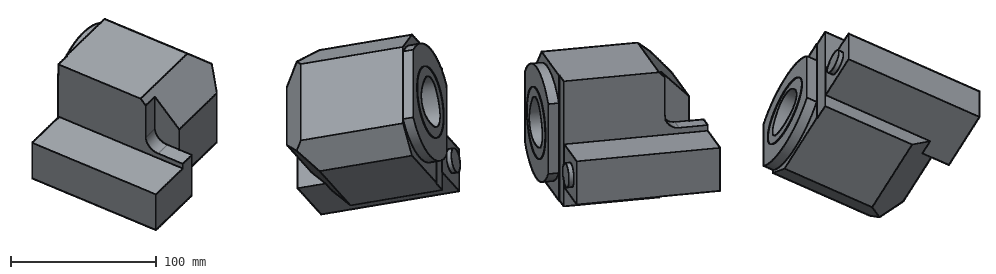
import cadquery as cq
import math


total_length = 110.5
total_depth = 109.0

body_length = 92.2
body_height = 92.0
body_back = 32.0
body_front = -32.0
end_chamfer = 24.2
side_chamfer = 17.0

plate_setback = 0.4
plate_thickness = 11.4
plate_front = body_front - plate_thickness
tongue_top = 3.9
notch_x = 72.2
notch_radius = 10.0

bar_setback = 0.9
bar_end = 102.5
bar_front = body_back - total_depth
bar_top = -0.3
bar_bottom = -32.0
pin_diameter = 17.0
pin_length = 3.5
pin_y = -61.0

flange_diameter = 81.8
flange_width = 63.6
flange_thickness = 7.5
nose_diameter = 50.0
nose_x = bar_end - total_length
socket_radius = 17.3
socket_lobe = 1.1
socket_depth = 26.5
socket_taper = 0.025
lobe_count = 3
points_per_lobe = 8


def box(x_min, x_max, y_min, y_max, z_min, z_max):
    """Box between two opposite corners."""
    size = (x_max - x_min, y_max - y_min, z_max - z_min)
    return cq.Workplane("XY").box(*size, centered=False).translate((x_min, y_min, z_min))


def cylinder(x_start, x_end, diameter, y=0, z=0):
    """Cylinder parallel to X."""
    plane = cq.Workplane("YZ", origin=(x_start, y, z))
    return plane.circle(diameter / 2).extrude(x_end - x_start)


def corner_cut(plane, corner, leg_u, leg_v, reach):
    """Triangular prism that bevels one edge of the housing."""
    u, v = corner
    outline = [(u, v), (u + leg_u, v), (u, v + leg_v)]
    return cq.Workplane(plane).polyline(outline).close().extrude(reach, both=True)


def make_housing():
    half_height = body_height / 2
    housing = box(0, body_length, body_front, body_back, -half_height, half_height)
    for side in (1, -1):
        edge_z = side * half_height
        housing = housing.cut(
            corner_cut("XZ", (body_length, edge_z), -end_chamfer, -side * end_chamfer, body_height)
        )
        housing = housing.cut(
            corner_cut("YZ", (body_back, edge_z), -side_chamfer, -side * side_chamfer, body_length)
        )
    return housing.cut(
        corner_cut("XY", (body_length, body_back), -side_chamfer, -side_chamfer, body_height)
    )


def make_plate():
    """Plate with a tongue to the bar's end, notched above with a rounded corner."""
    half_height = body_height / 2
    bevel_x = body_length - end_chamfer
    shoulder = half_height - (notch_x - bevel_x)
    arc_offset = notch_radius * (1 - math.sqrt(0.5))
    profile = (
        cq.Workplane("XZ", origin=(0, body_front, 0))
        .moveTo(plate_setback, -half_height)
        .lineTo(bevel_x, -half_height)
        .lineTo(bevel_x + bar_bottom + half_height, bar_bottom)
        .lineTo(bar_end, bar_bottom)
        .lineTo(bar_end, tongue_top)
        .lineTo(notch_x + notch_radius, tongue_top)
        .threePointArc(
            (notch_x + arc_offset, tongue_top + arc_offset),
            (notch_x, tongue_top + notch_radius),
        )
        .lineTo(notch_x, shoulder)
        .lineTo(bevel_x, half_height)
        .lineTo(plate_setback, half_height)
        .close()
    )
    return profile.extrude(plate_thickness)


def make_bar():
    bar = box(bar_setback, bar_end, bar_front, plate_front, bar_bottom, bar_top)
    pin_z = (bar_top + bar_bottom) / 2
    pin = cylinder(bar_setback - pin_length, bar_setback, pin_diameter, pin_y, pin_z)
    return bar.union(pin)


def make_nose():
    """Round flange with two flats, and the slightly proud spindle nose."""
    flat = flange_width / 2
    slab = box(-flange_thickness, 0, -flat, flat, -flange_diameter, flange_diameter)
    flange = cylinder(-flange_thickness, 0, flange_diameter).intersect(slab)
    return flange.union(cylinder(nose_x, 0, nose_diameter))


def socket_section(radius):
    """Points of a rounded triangle with one lobe pointing up."""
    count = lobe_count * points_per_lobe
    points = []
    for index in range(count):
        angle = 2 * math.pi * index / count
        reach = radius + socket_lobe * math.cos(lobe_count * angle)
        points.append((reach * math.sin(angle), reach * math.cos(angle)))
    return points


def make_socket():
    inner_radius = socket_radius - socket_depth * socket_taper
    return (
        cq.Workplane("YZ", origin=(nose_x, 0, 0))
        .spline(socket_section(socket_radius), periodic=True)
        .close()
        .workplane(offset=socket_depth)
        .spline(socket_section(inner_radius), periodic=True)
        .close()
        .loft(ruled=True)
    )


result = (
    make_housing()
    .union(make_plate())
    .union(make_bar())
    .union(make_nose())
    .cut(make_socket())
)